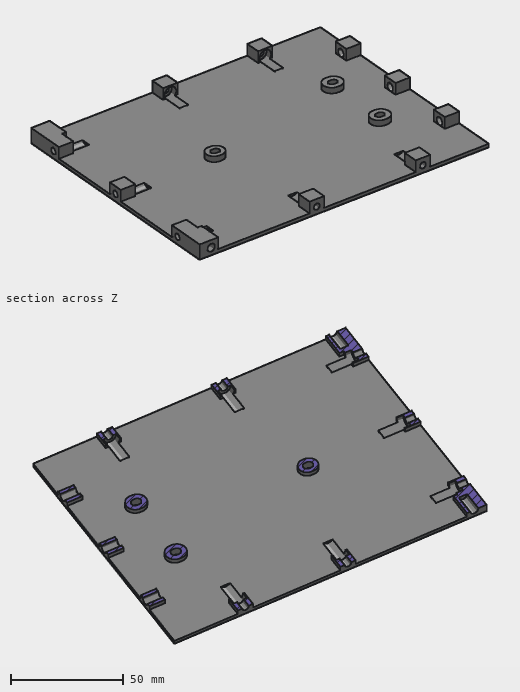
import cadquery as cq

plate_width = 125.0
plate_length = 160.8
plate_thickness = 2.0
overall_height = 8.0
half_width = plate_width / 2
half_length = plate_length / 2

block_size = 8.0
corner_block_length = 20.6
corner_step_length = 12.2
corner_step_depth = 10.3
rear_block_spacing = 36.5
upper_block_y = 43.7
lower_left_block_y = -9.0
lower_right_block_y = -15.3

screw_z = overall_height / 2
screw_hole_diameter = 3.2
screw_head_diameter = 6.5
middle_head_diameter = 6.8
head_recess_depth = 3.2
head_groove_length = 10.0
corner_screw_x = 46.0

socket_diameter = 4.0
corner_socket_depth = 10.0
corner_socket_setback = 6.5
corner_socket_y = corner_socket_setback - half_length

rear_pad_x = 17.5
pads = [
    (-rear_pad_x, 53.5, 9.2),
    (rear_pad_x, 53.5, 9.2),
    (-1.6, -23.8, 8.5),
]
pad_top = 5.0
pad_hole_width = 3.5
pad_stretch = 1.1

LEFT_INWARD = (1, 0)
RIGHT_INWARD = (-1, 0)
FRONT_INWARD = (0, 1)
REAR_INWARD = (0, -1)


def box(x_min, x_max, y_min, y_max, height):
    """Box standing on Z = 0."""
    return cq.Workplane("XY").box(
        x_max - x_min, y_max - y_min, height, centered=False
    ).translate((x_min, y_min, 0))


def rod(x, y, inward, start, end, diameter):
    """Horizontal cylinder between two distances inward from the rim point (x, y)."""
    direction = cq.Vector(inward[0], inward[1], 0)
    origin = cq.Vector(x, y, screw_z) + direction * start
    return cq.Workplane(
        cq.Solid.makeCylinder(diameter / 2, end - start, origin, direction)
    )


def rim_block(x, y, inward):
    """Square block whose outer face is centred on the rim point (x, y)."""
    centre_x = x + inward[0] * block_size / 2
    centre_y = y + inward[1] * block_size / 2
    half = block_size / 2
    return box(centre_x - half, centre_x + half, centre_y - half, centre_y + half, overall_height)


def screw_seat(x, y, inward, head_diameter):
    """Screw hole through a block, with a head recess that runs on as a groove in the plate."""
    hole = rod(x, y, inward, 0, block_size, screw_hole_diameter)
    head = rod(
        x, y, inward, block_size - head_recess_depth,
        block_size + head_groove_length, head_diameter,
    )
    return hole.union(head)


def corner_block(side):
    """Front corner block with a deeper step at its outer end; side is -1 or 1."""
    outer = side * half_width
    inner = outer - side * corner_block_length
    step = outer - side * corner_step_length
    long_part = box(
        min(outer, inner), max(outer, inner), -half_length, block_size - half_length, overall_height
    )
    step_part = box(
        min(outer, step), max(outer, step), -half_length, corner_step_depth - half_length, overall_height
    )
    return long_part.union(step_part)


def stretched_pad(x, y, width, height):
    """Upright round-ended prism, slightly longer in Y than in X."""
    return (
        cq.Workplane("XY").center(x, y)
        .slot2D(width + pad_stretch, width, 90).extrude(height)
    )


side_screws = [
    (-half_width, upper_block_y, LEFT_INWARD),
    (-half_width, lower_left_block_y, LEFT_INWARD),
    (half_width, upper_block_y, RIGHT_INWARD),
    (half_width, lower_right_block_y, RIGHT_INWARD),
]
middle_front_screw = (0, -half_length, FRONT_INWARD)
rear_blocks = [(i * rear_block_spacing, half_length, REAR_INWARD) for i in (-1, 0, 1)]

result = box(-half_width, half_width, -half_length, half_length, plate_thickness)
for block in side_screws + [middle_front_screw] + rear_blocks:
    result = result.union(rim_block(*block))
for side in (-1, 1):
    result = result.union(corner_block(side))
for pad_x, pad_y, pad_width in pads:
    result = result.union(stretched_pad(pad_x, pad_y, pad_width, pad_top))

for screw in side_screws:
    result = result.cut(screw_seat(*screw, screw_head_diameter))
result = result.cut(screw_seat(*middle_front_screw, middle_head_diameter))
for side in (-1, 1):
    result = result.cut(
        screw_seat(side * corner_screw_x, -half_length, FRONT_INWARD, screw_head_diameter)
    )

for block in rear_blocks:
    result = result.cut(rod(*block, 0, block_size, socket_diameter))
for side, inward in ((-1, LEFT_INWARD), (1, RIGHT_INWARD)):
    result = result.cut(
        rod(side * half_width, corner_socket_y, inward, 0, corner_socket_depth, socket_diameter)
    )

for pad_x, pad_y, _ in pads:
    result = result.cut(stretched_pad(pad_x, pad_y, pad_hole_width, pad_top))